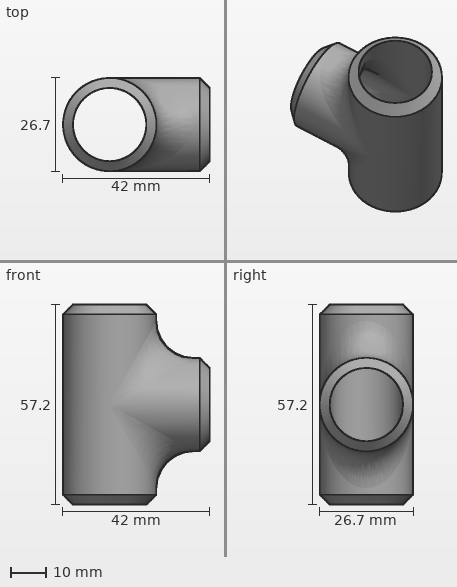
import cadquery as cq
import math

RUN_LENGTH = 57.2
BRANCH_REACH = RUN_LENGTH / 2
OUTER_DIAMETER = 26.7
WALL = 2.9
BEVEL = 2.85
CROTCH_CENTER = 23.9
BLEND_STEPS = 8

OUTER_RADIUS = OUTER_DIAMETER / 2
BORE_RADIUS = OUTER_RADIUS - WALL
SECTOR_REACH = 2 * RUN_LENGTH


def sector(half_angle):
    """Wedge along Y that opens toward +X by half_angle (degrees) above and below the XY plane."""
    corner_x = SECTOR_REACH * math.cos(math.radians(half_angle))
    corner_z = SECTOR_REACH * math.sin(math.radians(half_angle))
    return (
        cq.Workplane("XZ")
        .moveTo(0, 0)
        .lineTo(corner_x, corner_z)
        .lineTo(SECTOR_REACH, 0)
        .lineTo(corner_x, -corner_z)
        .close()
        .extrude(RUN_LENGTH, both=True)
    )


def blend_ellipse(radius, fraction):
    """Half ellipse across the crotch, from one pipe side over the concave arc to the other.

    The fraction runs from 0 on the run to 1 on the branch.
    """
    arc_radius = CROTCH_CENTER - radius
    arc_angle = math.pi * (1 + fraction / 2)
    apex = cq.Vector(
        CROTCH_CENTER + arc_radius * math.cos(arc_angle),
        0,
        CROTCH_CENTER + arc_radius * math.sin(arc_angle),
    )
    return cq.Edge.makeEllipse(
        apex.Length,
        radius,
        angle1=-90,
        angle2=90,
        pnt=cq.Vector(0, 0, 0),
        dir=apex.cross(cq.Vector(0, 1, 0)),
        xdir=apex,
    )


def crotch_blend(radius):
    """Concave surface above the branch, tangent to both pipes and fading out at their sides."""
    ellipses = [blend_ellipse(radius, i / BLEND_STEPS) for i in range(BLEND_STEPS + 1)]
    wires = [cq.Wire.assembleEdges([ellipse]) for ellipse in ellipses]
    return cq.occ_impl.shapes.loft(*wires, cap=False)


def tee_solid(radius):
    """Run and branch of one radius, both trimmed at the crotch and sewn to the two blends."""
    crotch_angle = math.degrees(math.atan2(CROTCH_CENTER, radius))
    run = cq.Workplane("XY").circle(radius).extrude(RUN_LENGTH / 2, both=True)
    run = run.cut(sector(crotch_angle))
    branch = cq.Workplane("YZ").circle(radius).extrude(BRANCH_REACH)
    branch = branch.intersect(sector(90 - crotch_angle))

    skin = run.faces("%CYLINDER or <Z or >Z").vals()
    skin += branch.faces("%CYLINDER or >X").vals()
    upper_blend = crotch_blend(radius)
    skin += upper_blend.Faces()
    skin += upper_blend.mirror("XY").Faces()
    return cq.Workplane(cq.Solid.makeSolid(cq.Shell.makeShell(skin)).fix())


outer = tee_solid(OUTER_RADIUS).faces("<Z or >Z or >X").chamfer(BEVEL)
bore = tee_solid(BORE_RADIUS)
result = outer.cut(bore)